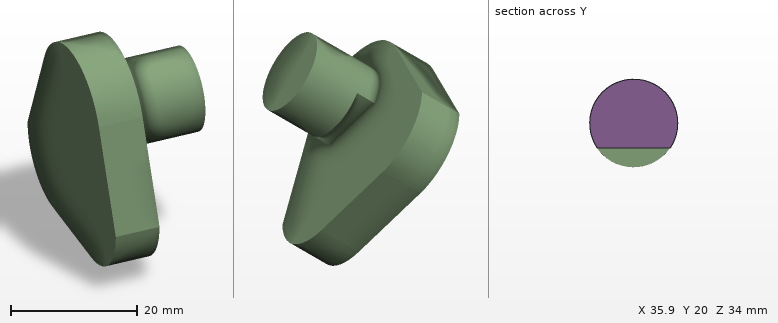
import cadquery as cq
import math

width = 35.92
height = 34.0
depth = 20.0
plate_thickness = 7.5
top_radius = 12.0
corner_radius = 10.0
stem_radius = 7.0
relief_length = 3.5
relief_depth = 3.0

half_width = width / 2
bottom_z = top_radius - height
corner_z = bottom_z + corner_radius
corner_center_x = half_width - corner_radius


def make_plate():
    """Rounded triangle whose slanted sides run tangent into the top arc."""
    corner_distance = math.hypot(half_width, corner_z)
    tangent_angle = math.atan2(corner_z, half_width) + math.acos(top_radius / corner_distance)
    tangent_x = top_radius * math.cos(tangent_angle)
    tangent_z = top_radius * math.sin(tangent_angle)
    arc_offset = corner_radius * math.sqrt(0.5)
    arc_mid_x = corner_center_x + arc_offset
    arc_mid_z = corner_z - arc_offset
    return (
        cq.Workplane("XZ")
        .moveTo(-corner_center_x, bottom_z)
        .lineTo(corner_center_x, bottom_z)
        .threePointArc((arc_mid_x, arc_mid_z), (half_width, corner_z))
        .lineTo(tangent_x, tangent_z)
        .threePointArc((0, top_radius), (-tangent_x, tangent_z))
        .lineTo(-half_width, corner_z)
        .threePointArc((-arc_mid_x, arc_mid_z), (-corner_center_x, bottom_z))
        .close()
        .extrude(-plate_thickness)
    )


def make_stem():
    """Round stem behind the plate, with a flat relief cut under its root."""
    stem = (
        cq.Workplane("XZ", origin=(0, plate_thickness, 0))
        .circle(stem_radius)
        .extrude(plate_thickness - depth)
    )
    relief = (
        cq.Workplane("XY")
        .box(2 * stem_radius, relief_length, relief_depth, centered=(True, False, False))
        .translate((0, plate_thickness, -stem_radius))
    )
    return stem.cut(relief)


result = make_plate().union(make_stem())